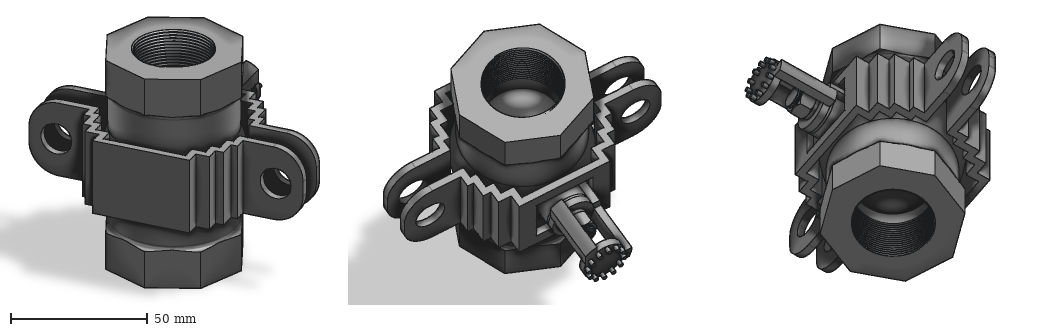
import cadquery as cq
import math

BODY_LENGTH = 86.0
SPHERE_RADIUS = 27.0
BARREL_RADIUS = 24.4
OCTAGON_LENGTH = 15.0
OCTAGON_RADIUS = SPHERE_RADIUS
FILLET_RADIUS = 2.0
BORE_RADIUS = 15.1
PIPE_THREAD_DEPTH = 0.7
PIPE_THREAD_LENGTH = 20.0
PIPE_THREAD_TURNS = 16
PIPE_THREAD_RISE = 0.2
PIPE_THREAD_START = 280
BALL_RADIUS = 23.0

GROOVE_WIDTH_SHARE = 0.9
GROOVE_OVERLAP = 0.1

COLLAR_RADIUS = 8.8
COLLAR_END = 32.1
SPACER_THICKNESS = 1.0
DISC_THICKNESS = 3.0
WASHER_THICKNESS = 1.5
NUT_HEIGHT = 6.0
STEM_END = 45.1
SPACER_END = COLLAR_END + SPACER_THICKNESS
HUB_END = SPACER_END + DISC_THICKNESS
WASHER_END = HUB_END + WASHER_THICKNESS
NUT_END = WASHER_END + NUT_HEIGHT

STEM_RADIUS = 4.2
STEM_SEAT_DEPTH = 3.3
STEM_THREAD_DEPTH = 0.4
STEM_THREAD_PITCH = 1.0
STEM_THREAD_START = 100
WASHER_RADIUS = 5.2
NUT_RADIUS = 6.0
NUT_TURN = -6
NUT_CHAMFER = 0.8

BAR_OUTER_RADIUS = 11.9
BAR_WIDTH = 5.0
UPPER_BAR_START = 3.1
STOP_PLANE = -0.2
LUG_TOP = 3.2
HANDLE_END = 58.0
STUD_COUNT = 12
STUD_RADIUS = 0.9
STUD_CIRCLE_RADIUS = 7.6
STUD_HEIGHT = 2.2
STUD_START = 8

CLAMP_HEIGHT = 29.9
CLAMP_THICKNESS = 3.0
EAR_END = 55.0
EAR_CORNER_RADIUS = 12.0
EAR_HOLE_RADIUS = 6.2
EAR_HOLE_X = 44.0
OPENING_WIDTH = 24.2
OPENING_HEIGHT = 19.8
STEP_CORNERS = [(16.5, 21.3), (22.0, 16.1), (25.3, 9.4), (27.9, 4.5)]


def stem_cylinder(radius, start, end):
    """Cylinder on the stem axis from Y = start to Y = end."""
    return cq.Workplane("XZ", origin=(0, start, 0)).circle(radius).extrude(start - end)


def box_between(low, high):
    """Axis-aligned box between two opposite corners."""
    size = [b - a for a, b in zip(low, high)]
    return cq.Workplane("XY").box(*size, centered=False).translate(low)


def rim_segment(start, end, low, high):
    """Piece of the ring around the discs; low and high are its (X, Z) limits."""
    ring = stem_cylinder(BAR_OUTER_RADIUS, start, end).cut(stem_cylinder(COLLAR_RADIUS, start, end))
    return ring.intersect(box_between((low[0], start, low[1]), (high[0], end, high[1])))


def thread_groove(radius, depth, pitch, length):
    """V-shaped helical groove about Z from Z = 0; a negative depth cuts towards the axis."""
    half_width = GROOVE_WIDTH_SHARE * pitch / 2
    path = cq.Workplane(cq.Wire.makeHelix(pitch, length, radius))
    overlap = -math.copysign(GROOVE_OVERLAP, depth)
    profile = (
        cq.Workplane("XZ")
        .moveTo(radius + overlap, -half_width)
        .lineTo(radius + depth, 0)
        .lineTo(radius + overlap, half_width)
        .close()
    )
    return profile.sweep(path, isFrenet=True)


def body_end():
    """Octagonal end at +Z, with its fillet running down onto the barrel."""
    octagon_start = BODY_LENGTH / 2 - OCTAGON_LENGTH
    fillet_start = octagon_start - FILLET_RADIUS
    prism = (
        cq.Workplane("XY", origin=(0, 0, fillet_start))
        .polygon(8, 2 * OCTAGON_RADIUS)
        .extrude(OCTAGON_LENGTH + FILLET_RADIUS)
    )
    bend = FILLET_RADIUS * math.sqrt(0.5)
    flare = (
        cq.Workplane("XZ")
        .moveTo(0, fillet_start)
        .lineTo(BARREL_RADIUS, fillet_start)
        .threePointArc(
            (BARREL_RADIUS + FILLET_RADIUS - bend, fillet_start + bend),
            (BARREL_RADIUS + FILLET_RADIUS, octagon_start),
        )
        .lineTo(OCTAGON_RADIUS, octagon_start)
        .lineTo(OCTAGON_RADIUS, BODY_LENGTH / 2)
        .lineTo(0, BODY_LENGTH / 2)
        .close()
        .revolve(360, (0, 0, 0), (0, 1, 0))
    )
    return prism.intersect(flare)


def threaded_bore():
    """Space of the bore from the centre to the mouth at +Z, with its thread groove."""
    pitch = PIPE_THREAD_LENGTH / PIPE_THREAD_TURNS
    groove = thread_groove(BORE_RADIUS, PIPE_THREAD_DEPTH, pitch, PIPE_THREAD_LENGTH)
    groove = groove.rotate((0, 0, 0), (0, 0, 1), PIPE_THREAD_START)
    groove = groove.translate((0, 0, BODY_LENGTH / 2 + PIPE_THREAD_RISE - PIPE_THREAD_LENGTH))
    bore_length = BODY_LENGTH / 2 + 2 * pitch
    return cq.Workplane("XY").circle(BORE_RADIUS).extrude(bore_length).union(groove)


def make_collar():
    """Collar around the stem, with the lug at its side that stops the handle."""
    collar = stem_cylinder(COLLAR_RADIUS, BALL_RADIUS, COLLAR_END)
    stop_lug = rim_segment(BALL_RADIUS, HUB_END, (-BAR_OUTER_RADIUS, STOP_PLANE), (0, LUG_TOP))
    return collar.union(stop_lug)


def make_valve_body():
    barrel_length = BODY_LENGTH - 2 * OCTAGON_LENGTH
    body = cq.Workplane("XY").circle(BARREL_RADIUS).extrude(barrel_length / 2, both=True)
    body = body.union(cq.Workplane("XY").sphere(SPHERE_RADIUS))
    body = body.union(make_collar())
    end = body_end()
    body = body.union(end).union(end.mirror("XY"))

    body = body.cut(cq.Workplane("XY").sphere(BALL_RADIUS))
    body = body.cut(stem_cylinder(STEM_RADIUS, 0, COLLAR_END))
    bore = threaded_bore()
    for turn in (0, 180):
        body = body.cut(bore.rotate((0, 0, 0), (1, 0, 0), turn))
    return body


def make_ball():
    ball = cq.Workplane("XY").sphere(BALL_RADIUS)
    return ball.cut(stem_cylinder(STEM_RADIUS, BALL_RADIUS - STEM_SEAT_DEPTH, BALL_RADIUS))


def make_stem():
    stem = stem_cylinder(STEM_RADIUS, BALL_RADIUS - STEM_SEAT_DEPTH, STEM_END)
    groove = thread_groove(
        STEM_RADIUS, -STEM_THREAD_DEPTH, STEM_THREAD_PITCH, STEM_END - WASHER_END
    )
    groove = groove.rotate((0, 0, 0), (0, 0, 1), STEM_THREAD_START)
    groove = groove.rotate((0, 0, 0), (1, 0, 0), -90).translate((0, WASHER_END, 0))
    return stem.cut(groove)


def make_ring(radius, start, end):
    """Flat ring on the stem, used for the spacer, the washer and the hub of the handle."""
    return stem_cylinder(radius, start, end).cut(stem_cylinder(STEM_RADIUS, start, end))


def make_nut():
    """Hexagonal nut with chamfered corners, fitting over the crests of the stem thread."""
    nut = (
        cq.Workplane("XZ", origin=(0, WASHER_END, 0))
        .polygon(6, 2 * NUT_RADIUS)
        .extrude(-NUT_HEIGHT)
        .rotate((0, 0, 0), (0, 1, 0), NUT_TURN)
    )
    rounding = stem_cylinder(NUT_RADIUS, WASHER_END, NUT_END).faces("<Y or >Y").chamfer(NUT_CHAMFER)
    return nut.intersect(rounding).cut(stem_cylinder(STEM_RADIUS, WASHER_END, NUT_END))


def make_handle():
    hub = make_ring(COLLAR_RADIUS, SPACER_END, HUB_END)
    knob = stem_cylinder(COLLAR_RADIUS, HANDLE_END - DISC_THICKNESS, HANDLE_END)
    upper_bar = rim_segment(
        SPACER_END, HANDLE_END,
        (UPPER_BAR_START, 0), (UPPER_BAR_START + BAR_WIDTH, BAR_OUTER_RADIUS),
    )
    side_bar = rim_segment(
        SPACER_END, HANDLE_END,
        (-BAR_OUTER_RADIUS, STOP_PLANE - BAR_WIDTH), (0, STOP_PLANE),
    )
    handle = hub.union(knob).union(upper_bar).union(side_bar)
    for i in range(STUD_COUNT):
        angle = math.radians(STUD_START + i * 360 / STUD_COUNT)
        stud = stem_cylinder(STUD_RADIUS, HANDLE_END, HANDLE_END + STUD_HEIGHT)
        stud = stud.translate(
            (STUD_CIRCLE_RADIUS * math.cos(angle), 0, STUD_CIRCLE_RADIUS * math.sin(angle))
        )
        handle = handle.union(stud)
    return handle


def clamp_outline():
    """Closed outline of the strap in the XY plane, on the +Y side."""
    inner = []
    level = SPHERE_RADIUS
    for x, y in STEP_CORNERS:
        inner += [(x, level), (x, y)]
        level = y
    outer = [(x + CLAMP_THICKNESS, y + CLAMP_THICKNESS) for x, y in inner]
    inner.append((EAR_END, level))
    outer.append((EAR_END, level + CLAMP_THICKNESS))
    mirrored_inner = [(-x, y) for x, y in inner]
    mirrored_outer = [(-x, y) for x, y in outer]
    return inner + outer[::-1] + mirrored_outer + mirrored_inner[::-1]


def make_clamp_half():
    half = (
        cq.Workplane("XY")
        .polyline(clamp_outline())
        .close()
        .extrude(CLAMP_HEIGHT / 2, both=True)
    )
    half = half.edges("|Y").edges("<X or >X").fillet(EAR_CORNER_RADIUS)
    holes = (
        cq.Workplane("XZ")
        .pushPoints([(-EAR_HOLE_X, 0), (EAR_HOLE_X, 0)])
        .circle(EAR_HOLE_RADIUS)
        .extrude(-SPHERE_RADIUS)
    )
    return half.cut(holes)


def make_rear_clamp():
    """Clamp half on the stem side, opened for the collar and its stop lug."""
    opening = (
        cq.Workplane("XZ", origin=(0, SPHERE_RADIUS, 0))
        .rect(OPENING_WIDTH, OPENING_HEIGHT)
        .extrude(-CLAMP_THICKNESS)
    )
    return make_clamp_half().cut(opening)


valve_body = make_valve_body()
ball = make_ball()
stem = make_stem()
spacer = make_ring(COLLAR_RADIUS, COLLAR_END, SPACER_END)
washer = make_ring(WASHER_RADIUS, HUB_END, WASHER_END)
nut = make_nut()
handle = make_handle()
front_clamp = make_clamp_half().mirror("XZ")
rear_clamp = make_rear_clamp()

bodies = [valve_body, ball, stem, spacer, washer, nut, handle, front_clamp, rear_clamp]
result = cq.Compound.makeCompound([body.solids().val() for body in bodies])